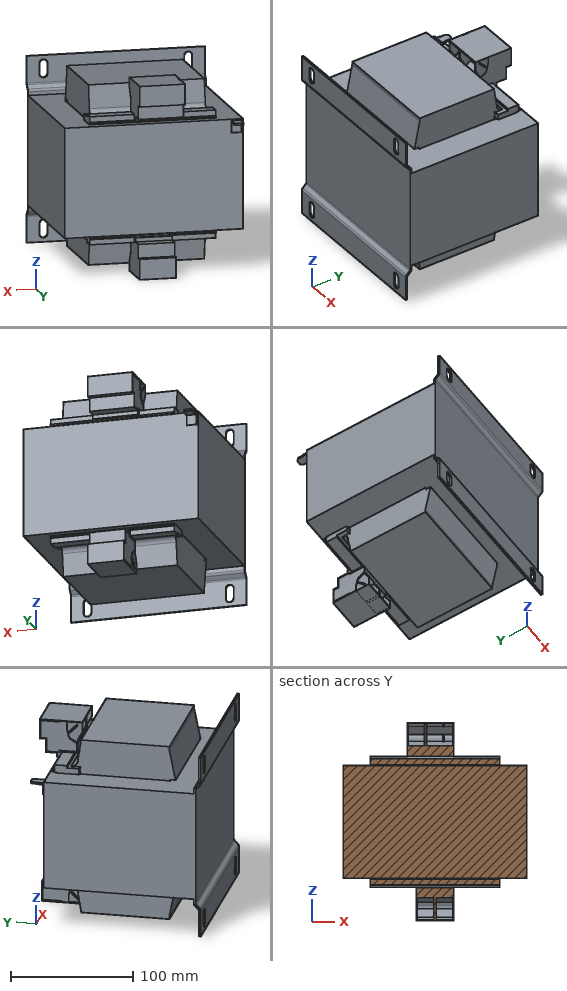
import cadquery as cq
import math


core_width = 150.0
core_half_height = 46.1
core_back = 131.3
window_width = 100.0
window_front = 31.1
window_back = 106.2

plate_thickness = 1.6
flange_offset = 4.4
flange_top = 78.2
flange_bend_z = 54.4
inner_bend_radius = 1.6
outer_bend_radius = inner_bend_radius + plate_thickness
core_front = flange_offset + plate_thickness

slot_width = 6.8
slot_length = 15.0
slot_spacing_x = 121.7
slot_spacing_z = 134.0

bobbin_width = 97.5
bobbin_top = 75.5
bobbin_lip = 2.9
bobbin_top_front = 31.9
bobbin_top_back = 105.5
bobbin_bottom_front = 26.7
overhang_clearance = 0.5
overhang_z = core_half_height + overhang_clearance
foot_back = 113.8
foot_thickness = 0.3
foot_blend_y = 108.5
foot_blend_z = 56.3

rail_width = 105.9
rail_front = 106.7
rail_step = 116.5
rail_back = 127.0
rail_bottom = overhang_z
rail_ledge_z = 51.6
rail_top = 53.6
rail_bevel = 1.3
lip_back = 128.7
lip_bottom = 47.5
lip_top = 48.9

block_right = 15.4
upper_block_left = -22.8
lower_block_left = -15.4
block_top = 81.0
block_front = 110.1
block_waist_front = 114.1
block_back = 145.5
block_step_back = 140.7
block_step_z = 63.8
block_bottom = 52.3
hook_back = 131.3
cheek_bottom = 72.0
cheek_slope_end = 64.6

wall_thickness = 0.8
ceiling_thickness = 1.0
partition_thickness = 2.1
upper_partition_x = -7.6
lower_partition_x = 0.0
funnel_top_y = 123.0
funnel_floor_front = 62.2
funnel_bends = [(funnel_top_y, 73.8), (121.7, 68.0), (120.5, 65.7)]
flap_inner_corner = (121.1, 71.7)
flap_length = 8.9
flap_thickness = 1.0
rib_x = 7.0
rib_thickness = 1.3
rib_front = 120.1
rib_back = 124.7

panel_depth = 0.2
panel_margin = 0.8
panel_notch_y = 129.2
panel_shallow_top = block_top - 0.5
panel_deep_top = block_top - 1.3
panel_foot_front = 114.8
panel_foot_z = 54.7

tab_x = -69.3
tab_base_width = 8.4
tab_base_back = 135.7
tab_width = 7.5
tab_back = 142.8
tab_top = 45.0
tab_thickness = 1.6
tab_corner = 1.8
tab_leg_bottom = 35.0
tab_leg_thickness = 0.8


def prism(points, x_start, x_end):
    """Closed (Y, Z) outline extruded along X."""
    outline = cq.Workplane("YZ").workplane(offset=x_start).polyline(points).close()
    return outline.extrude(x_end - x_start)


def box(x_range, y_range, z_range):
    """Box between two limits on each axis."""
    sizes = [high - low for low, high in (x_range, y_range, z_range)]
    corner = (x_range[0], y_range[0], z_range[0])
    return cq.Workplane("XY").box(*sizes, centered=False).translate(corner)


def with_mirror(half):
    """The shape together with its image below Z = 0."""
    return half.union(half.mirror("XY"))


def make_core():
    half_width = core_width / 2
    half_window = window_width / 2
    height = (-core_half_height, core_half_height)
    ring = box((-half_width, half_width), (core_front, core_back), height)
    return ring.cut(box((-half_window, half_window), (window_front, window_back), height))


def make_foot_plate():
    jog_angle = math.radians(45)
    back_bend_z = flange_bend_z + plate_thickness * math.tan(jog_angle / 2)
    front_jog_z = flange_bend_z - flange_offset
    back_jog_z = back_bend_z - flange_offset
    half = prism(
        [
            (flange_offset, 0),
            (flange_offset, front_jog_z),
            (0, flange_bend_z),
            (0, flange_top),
            (plate_thickness, flange_top),
            (plate_thickness, back_bend_z),
            (core_front, back_jog_z),
            (core_front, 0),
        ],
        -core_width / 2,
        core_width / 2,
    )
    bends = (
        (flange_offset, front_jog_z, inner_bend_radius),
        (0, flange_bend_z, outer_bend_radius),
        (plate_thickness, back_bend_z, inner_bend_radius),
        (core_front, back_jog_z, outer_bend_radius),
    )
    for y, z, radius in bends:
        half = half.edges(cq.selectors.NearestToPointSelector((0, y, z))).fillet(radius)
    slots = (
        cq.Workplane("XZ")
        .rarray(slot_spacing_x, slot_spacing_z, 2, 2)
        .slot2D(slot_length, slot_width, 90)
        .extrude(-plate_thickness)
    )
    return with_mirror(half).cut(slots)


def make_bobbin():
    half = (
        cq.Workplane("YZ")
        .moveTo(window_front, 0)
        .lineTo(window_front, overhang_z)
        .lineTo(bobbin_bottom_front, overhang_z)
        .lineTo(bobbin_top_front, bobbin_top - bobbin_lip)
        .lineTo(bobbin_top_front, bobbin_top)
        .lineTo(bobbin_top_back, bobbin_top)
        .lineTo(foot_blend_y, foot_blend_z)
        .tangentArcPoint((foot_back, rail_ledge_z + foot_thickness), relative=False)
        .lineTo(foot_back, rail_ledge_z)
        .lineTo(window_back, rail_ledge_z)
        .lineTo(window_back, 0)
        .close()
        .extrude(bobbin_width / 2, both=True)
    )
    return with_mirror(half)


def make_rail():
    half = prism(
        [
            (rail_front, rail_bottom),
            (rail_front, rail_ledge_z),
            (rail_step, rail_ledge_z),
            (rail_step, rail_top),
            (rail_back, rail_top),
            (rail_back, lip_top),
            (lip_back, lip_top),
            (lip_back, lip_bottom),
            (rail_back, lip_bottom),
            (rail_back - rail_bevel, rail_bottom),
        ],
        -rail_width / 2,
        rail_width / 2,
    )
    return with_mirror(half)


def flap_outline():
    """Thin flap that leans forward and up at 45 degrees from the back of a cell."""
    y, z = flap_inner_corner
    along = flap_length * math.sqrt(0.5)
    across = flap_thickness * math.sqrt(0.5)
    return [
        (y, z),
        (y - along, z + along),
        (y - along - across, z + along - across),
        (y - across, z - across),
    ]


def panel_outline():
    """Inset copy of the block outline, bounded at the front by the wire funnel."""
    return [
        (funnel_top_y, panel_shallow_top),
        (panel_notch_y, panel_shallow_top),
        (panel_notch_y, panel_deep_top),
        (block_back - panel_margin, panel_deep_top),
        (block_back - panel_margin, block_step_z + panel_margin),
        (block_step_back - panel_margin, block_step_z + panel_margin),
        (block_step_back - panel_margin, block_bottom + panel_margin),
        (panel_notch_y, block_bottom + panel_margin),
        (panel_notch_y, panel_foot_z),
        (panel_foot_front, panel_foot_z),
        (panel_foot_front, funnel_floor_front),
        *reversed(funnel_bends),
    ]


def make_terminal_block(x_left, partition_x):
    """Upper terminal block with two open-fronted wire cells either side of a partition."""
    block = prism(
        [
            (block_back, block_top),
            (block_front, block_top),
            (block_front, cheek_bottom),
            (block_waist_front, cheek_slope_end),
            (block_waist_front, rail_top),
            (rail_back, rail_top),
            (rail_back, lip_top),
            (hook_back, lip_top),
            (hook_back, block_bottom),
            (block_step_back, block_bottom),
            (block_step_back, block_step_z),
            (block_back, block_step_z),
        ],
        x_left,
        block_right,
    )
    for relief in (panel_outline(), flap_outline()):
        block = block.cut(prism(relief, x_left, x_left + panel_depth))

    ceiling = block_top - ceiling_thickness
    opening = [
        (block_front, ceiling),
        (funnel_top_y, ceiling),
        *funnel_bends,
        (block_waist_front, funnel_floor_front),
        (block_front, funnel_floor_front),
    ]
    cells = (
        (x_left + wall_thickness, partition_x - partition_thickness / 2),
        (partition_x + partition_thickness / 2, block_right - wall_thickness),
    )
    for cell_left, cell_right in cells:
        block = block.cut(prism(opening, cell_left, cell_right))
        block = block.union(prism(flap_outline(), cell_left, cell_right))
    return block


def make_cell_rib():
    """Short rib on the back wall of the wide upper cell, from its floor to its ceiling."""
    return box(
        (rib_x - rib_thickness / 2, rib_x + rib_thickness / 2),
        (rib_front, rib_back),
        (funnel_floor_front, block_top - ceiling_thickness),
    )


def make_earth_tab():
    def strip(width, y_end, z_bottom):
        x_range = (tab_x - width / 2, tab_x + width / 2)
        return box(x_range, (core_back, y_end), (z_bottom, tab_top))

    tab_bottom = tab_top - tab_thickness
    blade = strip(tab_width, tab_back, tab_bottom).edges("|Z and >Y").chamfer(tab_corner)
    base = strip(tab_base_width, tab_base_back, tab_bottom)
    leg = strip(tab_base_width, core_back + tab_leg_thickness, tab_leg_bottom)
    return blade.union(base).union(leg)


upper_block = make_terminal_block(upper_block_left, upper_partition_x).union(make_cell_rib())
lower_block = make_terminal_block(lower_block_left, lower_partition_x).mirror("XY")

result = make_core()
for piece in (
    make_foot_plate(),
    make_bobbin(),
    make_rail(),
    upper_block,
    lower_block,
    make_earth_tab(),
):
    result = result.union(piece)